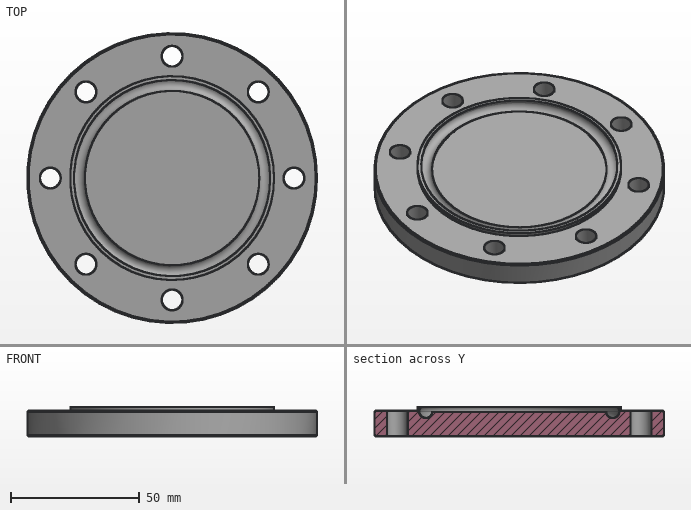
import cadquery as cq

flange_diameter = 113.0
flange_thickness = 10.0
edge_chamfer = 0.5

face_diameter = 79.5
face_height = 1.5
total_height = flange_thickness + face_height

recess_depth = 2.0
groove_circle_diameter = 73.0
groove_radius = 2.5
groove_center_depth = 1.8

bolt_count = 8
bolt_circle_diameter = 95.0
bolt_hole_diameter = 8.0


def make_flange():
    """Disc with both outer edges chamfered, and its raised face."""
    disc = cq.Workplane("XY").circle(flange_diameter / 2).extrude(flange_thickness)
    disc = disc.edges().chamfer(edge_chamfer)
    raised_face = cq.Workplane("XY").circle(face_diameter / 2).extrude(total_height)
    return disc.union(raised_face)


def make_recess():
    """Shallow flat-floored cylinder that ends at the middle of the groove."""
    floor_plane = cq.Workplane("XY").workplane(offset=total_height - recess_depth)
    return floor_plane.circle(groove_circle_diameter / 2).extrude(recess_depth)


def make_groove():
    """Ring of circular section, centered below the raised face."""
    section = (
        cq.Workplane("XZ")
        .center(groove_circle_diameter / 2, total_height - groove_center_depth)
        .circle(groove_radius)
    )
    axis_start = (-groove_circle_diameter / 2, 0, 0)
    axis_end = (-groove_circle_diameter / 2, 1, 0)
    return section.revolve(360, axis_start, axis_end)


def make_bolt_holes():
    """Through holes evenly spaced on the bolt circle, starting on the X axis."""
    return (
        cq.Workplane("XY")
        .polarArray(bolt_circle_diameter / 2, 0, 360, bolt_count)
        .circle(bolt_hole_diameter / 2)
        .extrude(flange_thickness)
    )


result = make_flange().cut(make_recess()).cut(make_groove()).cut(make_bolt_holes())